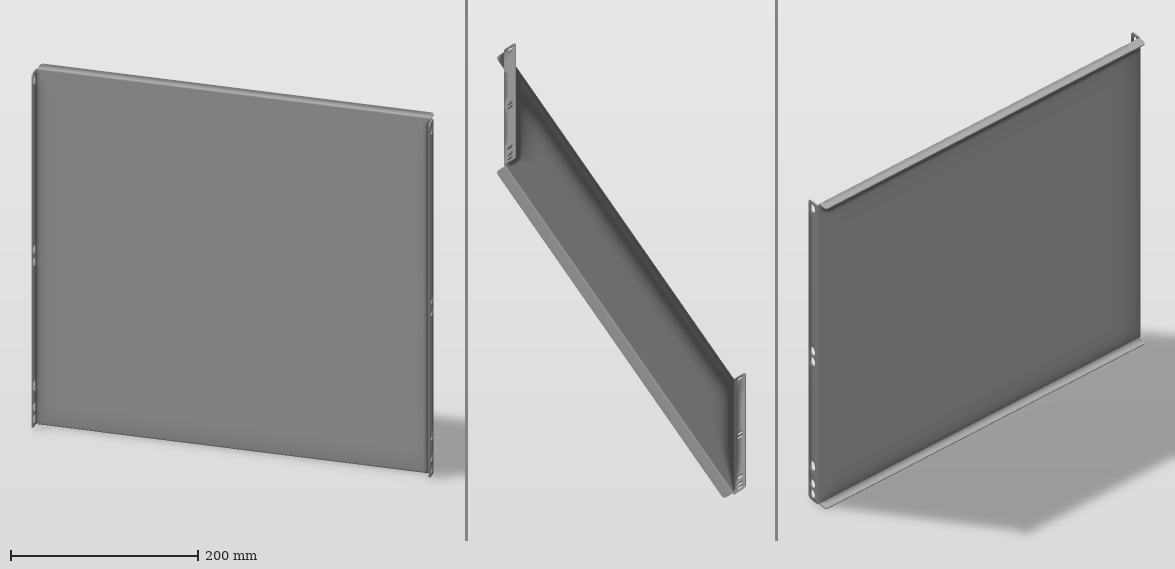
import cadquery as cq

width = 444.0
depth = 26.5
height = 420.0

thickness = 1.5
inner_radius = 0.58
outer_radius = inner_radius + thickness

side_flange_depth = 15.5
end_flange_depth = depth - side_flange_depth + thickness
front_tip = -depth / 2
panel_back = front_tip + side_flange_depth
panel_front = panel_back - thickness

side_flange_inset = 1.5
end_flange_inset = 2.5
side_corner_radius = 4.0
end_corner_radius = 3.5

slot_width = 7.5
slot_length = 11.0
long_slot_length = 13.0
slot_from_tip = 7.0
slot_y = front_tip + slot_from_tip
end_slot_z = 199.5
paired_slot_pitch = 14.0
long_slot_z = -160.5
slots = [
    (end_slot_z, slot_length),
    (0.0, slot_length),
    (-paired_slot_pitch, slot_length),
    (long_slot_z, long_slot_length),
    (paired_slot_pitch - end_slot_z, slot_length),
    (-end_slot_z, slot_length),
]


def channel(span, leg, length):
    """Bent channel along Z, with the outside of its web at y = 0 and legs toward +Y."""
    outer = cq.Workplane("XY").box(span, leg, length).translate((0, leg / 2, 0))
    outer = outer.edges("|Z and <Y").fillet(outer_radius)
    inner = cq.Workplane("XY").box(span - 2 * thickness, leg, length)
    inner = inner.translate((0, leg / 2 + thickness, 0))
    inner = inner.edges("|Z and <Y").fillet(inner_radius)
    return outer.cut(inner)


def side_channel():
    """Panel with its two forward side flanges, rounded at the front corners."""
    flange_height = height - 2 * side_flange_inset
    body = channel(width, side_flange_depth, flange_height)
    body = body.rotate((0, 0, 0), (0, 0, 1), 180).translate((0, panel_back, 0))
    return body.edges("|X and <Y").edges("<Z or >Z").fillet(side_corner_radius)


def end_channel():
    """Panel with its top and bottom rearward flanges, rounded at the rear corners."""
    flange_width = width - 2 * end_flange_inset
    body = channel(height, end_flange_depth, flange_width)
    body = body.rotate((0, 0, 0), (0, 1, 0), 90).translate((0, panel_front, 0))
    return body.edges("|Z and >Y").fillet(end_corner_radius)


def slot_cutter(z, length):
    """Upright slot running across both side flanges."""
    return (
        cq.Workplane("YZ")
        .center(slot_y, z)
        .slot2D(length, slot_width, 90)
        .extrude(width, both=True)
    )


side_part = side_channel()
end_part = end_channel()
flat_width = width - 2 * outer_radius
flat_height = height - 2 * outer_radius
middle_width = cq.Workplane("XY").box(flat_width, 2 * depth, 2 * height)
middle_height = cq.Workplane("XY").box(2 * width, 2 * depth, flat_height)
side_flanges = side_part.cut(middle_width)
end_flanges = end_part.cut(middle_height)
panel = cq.Workplane("XY").box(flat_width, thickness, flat_height)
panel = panel.translate((0, panel_front + thickness / 2, 0))

result = panel.union(side_flanges).union(end_flanges)
for slot_z, length in slots:
    result = result.cut(slot_cutter(slot_z, length))